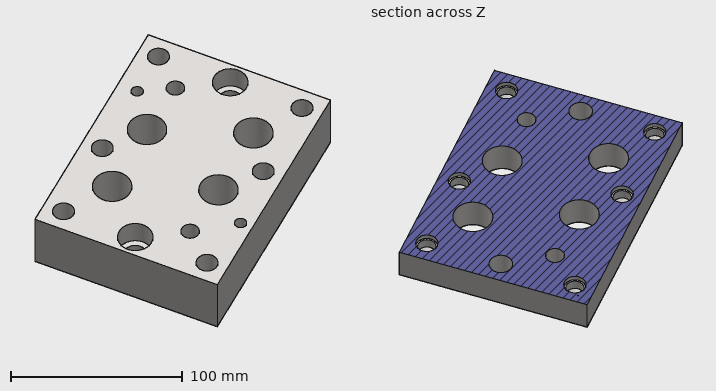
import cadquery as cq
import math

BLOCK_X = 117.5
BLOCK_Y = 155.5
BLOCK_Z = 38.1

BOLT_ROW_Y = 65.2
INNER_ROW_Y = 12.0
OUTER_ROW_Y = 3 * INNER_ROW_Y
SIDE_COLUMN_X = 46.2

PORT_D = 23.0
PORT_X = 28.6
PORTS = [
    (-PORT_X, INNER_ROW_Y),
    (-PORT_X, -OUTER_ROW_Y),
    (PORT_X, OUTER_ROW_Y),
    (PORT_X, -INNER_ROW_Y),
]

PILOT_D = 10.7
PILOT_X = 27.0
PILOT_Y = 47.6
PILOTS = [(-PILOT_X, PILOT_Y), (PILOT_X, -PILOT_Y)]

BOLT_D = 13.5
COUNTERBORE_D = 20.7
COUNTERBORE_DEPTH = 15.5
BOLTS = [(0, BOLT_ROW_Y), (0, -BOLT_ROW_Y)]

THREAD_D = 12.8
THREAD_DEPTH = 21.8
TAP_DRILL_D = 10.7
TAP_DRILL_DEPTH = 28
TAPPED = [(x, y) for x in (-SIDE_COLUMN_X, SIDE_COLUMN_X) for y in (-BOLT_ROW_Y, BOLT_ROW_Y)]
TAPPED += [(-SIDE_COLUMN_X, -INNER_ROW_Y), (SIDE_COLUMN_X, INNER_ROW_Y)]

PIN_D = 7.2
PIN_DEPTH = 12.5
OFFSET_PIN_X = 51.0
OFFSET_PIN_Y = -29.4
PINS = [(-SIDE_COLUMN_X, OUTER_ROW_Y), (OFFSET_PIN_X, OFFSET_PIN_Y)]

DRILL_POINT_ANGLE = 118


def bore(places, diameter, depth):
    """Flat-ended cylinders going down from the top face."""
    return (
        cq.Workplane("XY", origin=(0, 0, BLOCK_Z))
        .pushPoints(places)
        .circle(diameter / 2)
        .extrude(-depth)
    )


def drilled_bore(places, diameter, depth):
    """Cylinders going down from the top face, each ending in a conical drill point."""
    radius = diameter / 2
    tip_depth = depth + radius / math.tan(math.radians(DRILL_POINT_ANGLE / 2))
    drill = (
        cq.Workplane("XZ")
        .polyline([(0, 0), (radius, 0), (radius, -depth), (0, -tip_depth)])
        .close()
        .revolve(360, (0, 0), (0, 1))
        .val()
    )
    return (
        cq.Workplane("XY", origin=(0, 0, BLOCK_Z))
        .pushPoints(places)
        .eachpoint(lambda location: drill.located(location))
    )


result = cq.Workplane("XY").box(BLOCK_X, BLOCK_Y, BLOCK_Z, centered=(True, True, False))

result = result.cut(bore(PORTS, PORT_D, BLOCK_Z))
result = result.cut(bore(PILOTS, PILOT_D, BLOCK_Z))
result = result.cut(bore(BOLTS, BOLT_D, BLOCK_Z))
result = result.cut(bore(BOLTS, COUNTERBORE_D, COUNTERBORE_DEPTH))

result = result.cut(bore(TAPPED, THREAD_D, THREAD_DEPTH))
result = result.cut(drilled_bore(TAPPED, TAP_DRILL_D, TAP_DRILL_DEPTH))
result = result.cut(drilled_bore(PINS, PIN_D, PIN_DEPTH))